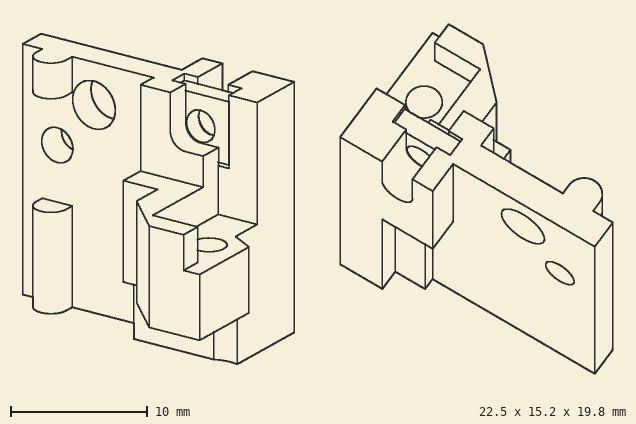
import cadquery as cq
import math

length = 22.5
depth = 15.2
height = 19.8

plate_back = 12.5
plate_front = 10.1

body_left = 11.56
body_right = 20.55
body_front = 7.55
rear_block_left = 12.42
tower_front = 10.37
upper_wall_front = 8.42
upper_wall_right = 17.1

relief_top = 10.82
relief_step_y = 13.5
relief_inner_x = 14.22
relief_outer_x = 16.83

rib_diameter = 2.65
rib_x = 3.05
rib_axis_y = 9.3
lower_rib_top = 8.0
upper_rib_bottom = 16.99

large_hole_diameter = 3.75
large_hole_x = 6.3
large_hole_z = 16.42
taper_hole_front_diameter = 2.75
taper_hole_back_diameter = 2.5
taper_hole_z = 12.5

screw_x = 15.52
screw_z = 16.76
screw_slot_width = 2.65
nut_bore_diameter = 2.5
nut_width = 5.05
nut_height = 5.0
nut_thickness = 1.6
nut_front = 10.42
nut_gap = 0.25

arm_bottom = 4.97
arm_top = 12.98
arm_shelf_z = 10.17
arm_shoulder_front = 6.19
arm_left = 14.58
arm_bevel = 3.46
arm_corner_angle = 30.0
arm_lip_thickness = 1.85
arm_lip_right = 21.08
pin_x = 19.85
pin_y = 5.13
pin_hole_diameter = 2.65
pin_clearance_diameter = 5.45


def box(x0, x1, y0, y1, z0, z1):
    """Box between two opposite corners."""
    return cq.Workplane("XY").box(x1 - x0, y1 - y0, z1 - z0, centered=False).translate((x0, y0, z0))


def cylinder_y(x, z, diameter, y0, y1):
    """Cylinder along Y from y0 to y1."""
    return cq.Workplane("XZ", origin=(x, y0, z)).circle(diameter / 2).extrude(y0 - y1)


def cylinder_z(x, y, diameter, z0, z1):
    """Cylinder along Z from z0 to z1."""
    return cq.Workplane("XY", origin=(x, y, z0)).circle(diameter / 2).extrude(z1 - z0)


def guide_rib(z0, z1):
    """Rib with straight sides and a half-round nose, standing on the plate front."""
    half_width = rib_diameter / 2
    root = box(rib_x - half_width, rib_x + half_width, rib_axis_y, plate_front, z0, z1)
    return root.union(cylinder_z(rib_x, rib_axis_y, rib_diameter, z0, z1))


def plate():
    """Plate with its two guide ribs and two holes."""
    panel = box(0, body_left, plate_front, plate_back, 0, height)
    panel = panel.cut(cylinder_y(large_hole_x, large_hole_z, large_hole_diameter, plate_front, plate_back))
    taper_hole = (
        cq.Workplane("XZ", origin=(rib_x, plate_front, taper_hole_z))
        .circle(taper_hole_front_diameter / 2)
        .workplane(offset=plate_front - plate_back)
        .circle(taper_hole_back_diameter / 2)
        .loft(ruled=True)
    )
    panel = panel.cut(taper_hole)
    panel = panel.union(guide_rib(0, lower_rib_top))
    return panel.union(guide_rib(upper_rib_bottom, height))


def body():
    """Lower block, tower and upper front wall, with the relief below the rear block."""
    solid = box(body_left, body_right, body_front, plate_back, 0, arm_shelf_z)
    solid = solid.union(box(body_left, body_right, tower_front, plate_back, 0, height))
    solid = solid.union(box(body_left, upper_wall_right, upper_wall_front, plate_back, 0, height))
    solid = solid.union(box(rear_block_left, body_right, plate_back, depth, 0, height))
    solid = solid.cut(box(rear_block_left, relief_inner_x, plate_back, relief_step_y, 0, relief_top))
    return solid.cut(box(rear_block_left, relief_outer_x, relief_step_y, depth, 0, relief_top))


def arm():
    """Bevelled arm, lowered to a shelf behind and beside its front lip."""
    corner_drop = (length - body_right) * math.tan(math.radians(arm_corner_angle))
    outline = [
        (body_left, upper_wall_front),
        (body_left, arm_shoulder_front),
        (arm_left, arm_shoulder_front),
        (arm_left, arm_bevel),
        (arm_left + arm_bevel, 0),
        (length, 0),
        (length, body_front - corner_drop),
        (body_right, body_front),
        (body_right, upper_wall_front),
    ]
    solid = cq.Workplane("XY", origin=(0, 0, arm_bottom)).polyline(outline).close()
    solid = solid.extrude(arm_top - arm_bottom)
    solid = solid.cut(box(upper_wall_right, length, arm_lip_thickness, upper_wall_front, arm_shelf_z, arm_top))
    return solid.cut(box(arm_lip_right, length, 0, arm_lip_thickness, arm_shelf_z, arm_top))


def screw_slot():
    """Open-topped slot through the body; its round bottom opens to the right in the front wall."""
    half_width = screw_slot_width / 2
    slot = cylinder_y(screw_x, screw_z, screw_slot_width, upper_wall_front, depth)
    slot = slot.union(
        box(screw_x - half_width, screw_x + half_width, upper_wall_front, depth, screw_z, height)
    )
    side_opening = box(
        screw_x, upper_wall_right, upper_wall_front, nut_front, screw_z - half_width, height
    )
    return slot.union(side_opening)


def nut(bottom_gap, top):
    """Square block around the screw axis, lengthened down by bottom_gap and up to top."""
    left = screw_x - nut_width / 2
    bottom = screw_z - nut_height / 2 - bottom_gap
    return box(left, left + nut_width, nut_front, nut_front + nut_thickness, bottom, top)


nut_pocket = nut(nut_gap, height)
square_nut = nut(0, screw_z + nut_height / 2)
square_nut = square_nut.cut(
    cylinder_y(screw_x, screw_z, nut_bore_diameter, nut_front, nut_front + nut_thickness)
)

pocket_right = screw_x + nut_width / 2
pocket_floor = screw_z - nut_height / 2 - nut_gap
pocket_mouth = box(upper_wall_right, pocket_right, tower_front, nut_front, pocket_floor, height)

result = plate().union(body()).union(arm())
result = result.cut(screw_slot()).cut(nut_pocket).cut(pocket_mouth)
result = result.union(square_nut)
result = result.cut(cylinder_z(pin_x, pin_y, pin_hole_diameter, arm_bottom, arm_top))
result = result.cut(cylinder_z(pin_x, pin_y, pin_clearance_diameter, 0, arm_bottom))